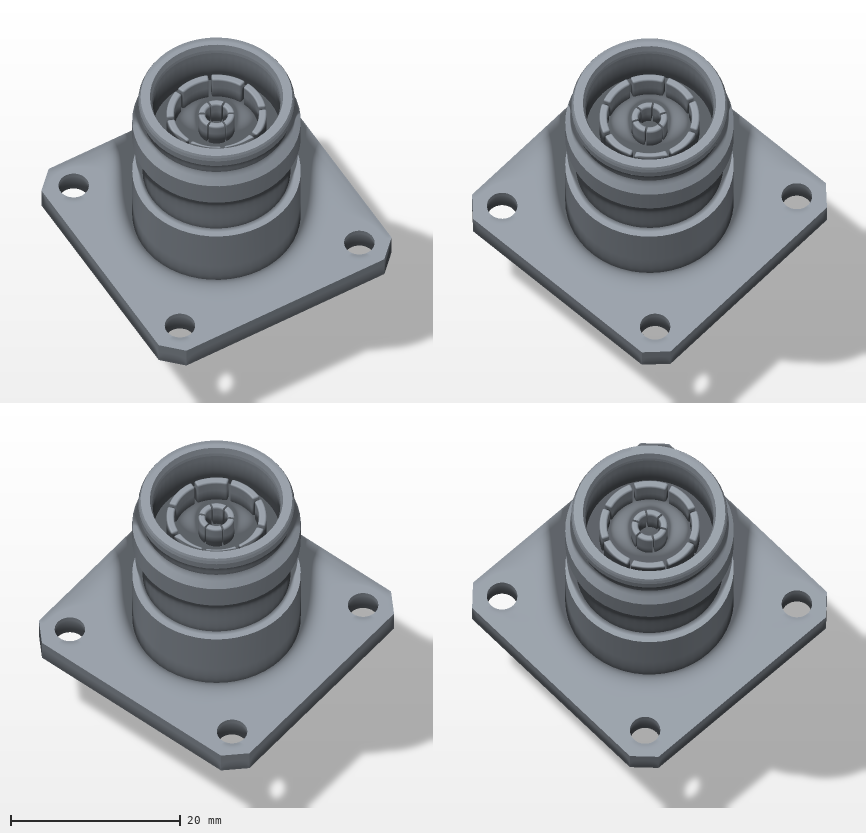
import cadquery as cq

flange_side = 32.0
flange_thickness = 2.8
flange_corner_chamfer = 2.4
mount_hole_diameter = 3.6
mount_hole_pitch = 24.65

front_height = 25.0
base_radius = 9.97
base_top = front_height - 14.0
neck_radius = 8.75
collar_radius = base_radius
collar_bottom = front_height - 8.85
collar_band_bottom = front_height - 7.6
collar_band_top = front_height - 4.5
collar_top = front_height - 3.3
rim_radius = 9.25
rim_bottom = front_height - 1.55
rim_bevel_bottom = front_height - 0.68
rim_edge_radius = 9.12
rim_edge_height = front_height - 0.28
rim_face_radius = 8.97

socket_floor = front_height - 6.2
socket_radius = 7.55
socket_mouth_radius = 7.87
socket_taper_depth = 0.95
socket_blend_radius = 1.3

finger_outer_radius = 5.93
finger_inner_radius = 5.0
finger_height = 3.15
finger_edge_fillet = 0.22
finger_count = 8
finger_slot_width = 0.38

pin_radius = 2.13
pin_bore_radius = 1.32
pin_height = 3.05
pin_edge_fillet = 0.25
pin_slot_count = 6
pin_slot_width = 0.25

rear_length = 7.0
rear_radius = 4.0
rear_neck_radius = 3.1
rear_neck_length = 1.25
rear_shoulder_length = 0.85
rear_shoulder_radius = 3.3
rear_shoulder_end_radius = 3.9


def revolve_profile(points):
    """Revolve a closed (radius, height) outline about the Z axis."""
    return cq.Workplane("XZ").polyline(points).close().revolve(360, (0, 0), (0, 1))


def make_flange():
    plate = cq.Workplane("XY").rect(flange_side, flange_side).extrude(flange_thickness)
    plate = plate.edges("|Z").chamfer(flange_corner_chamfer)
    holes = (
        cq.Workplane("XY")
        .rect(mount_hole_pitch, mount_hole_pitch, forConstruction=True)
        .vertices()
        .circle(mount_hole_diameter / 2)
        .extrude(flange_thickness)
    )
    return plate.cut(holes)


def make_front_body():
    return revolve_profile([
        (0, 0),
        (base_radius, 0),
        (base_radius, base_top),
        (neck_radius, base_top),
        (neck_radius, collar_bottom),
        (collar_radius, collar_band_bottom),
        (collar_radius, collar_band_top),
        (neck_radius, collar_top),
        (neck_radius, rim_bottom),
        (rim_radius, rim_bottom),
        (rim_radius, rim_bevel_bottom),
        (rim_edge_radius, rim_edge_height),
        (rim_face_radius, front_height),
        (0, front_height),
    ])


def make_socket():
    """Cavity with a tapered mouth that blends smoothly into the straight bore."""
    cavity = revolve_profile([
        (0, socket_floor),
        (socket_radius, socket_floor),
        (socket_radius, front_height - socket_taper_depth),
        (socket_mouth_radius, front_height),
        (0, front_height),
    ])
    return cavity.edges("%CIRCLE").edges(">>Z[-2]").fillet(socket_blend_radius)


def make_tube(outer_radius, inner_radius, height):
    """Plain tube standing on the socket floor."""
    floor = cq.Workplane("XY").workplane(offset=socket_floor)
    return floor.circle(outer_radius).circle(inner_radius).extrude(height)


def cut_slots(tube, slot_length, slot_width, slot_depth, slot_count, first_angle):
    """Split a tube with evenly spaced radial slots; each cut spans two opposite slots."""
    floor = cq.Workplane("XY").workplane(offset=socket_floor)
    cutter = floor.rect(slot_length, slot_width).extrude(slot_depth)
    for index in range(slot_count // 2):
        angle = first_angle + index * 360 / slot_count
        tube = tube.cut(cutter.rotate((0, 0, 0), (0, 0, 1), angle))
    return tube


def make_fingers():
    """Ring of spring fingers, rounded on every edge except where they meet the floor."""
    tube = make_tube(finger_outer_radius, finger_inner_radius, finger_height)
    half_pitch = 180 / finger_count
    ring = cut_slots(
        tube, 2 * finger_outer_radius, finger_slot_width, finger_height, finger_count, half_pitch
    )
    return ring.edges("not(<Z)").fillet(finger_edge_fillet)


def make_pin():
    """Slotted centre contact with a rounded tip."""
    tube = make_tube(pin_radius, pin_bore_radius, pin_height)
    tube = tube.faces(">Z").edges().fillet(pin_edge_fillet)
    return cut_slots(tube, 2 * pin_radius, pin_slot_width, pin_height, pin_slot_count, 0)


def make_rear_spigot():
    return revolve_profile([
        (0, 0),
        (rear_neck_radius, 0),
        (rear_neck_radius, -rear_neck_length),
        (rear_shoulder_radius, -rear_neck_length),
        (rear_shoulder_end_radius, -rear_neck_length - rear_shoulder_length),
        (rear_radius, -rear_neck_length - rear_shoulder_length),
        (rear_radius, -rear_length),
        (0, -rear_length),
    ])


shell = make_front_body().cut(make_socket())
result = make_flange().union(shell).union(make_rear_spigot()).union(make_fingers()).union(make_pin())